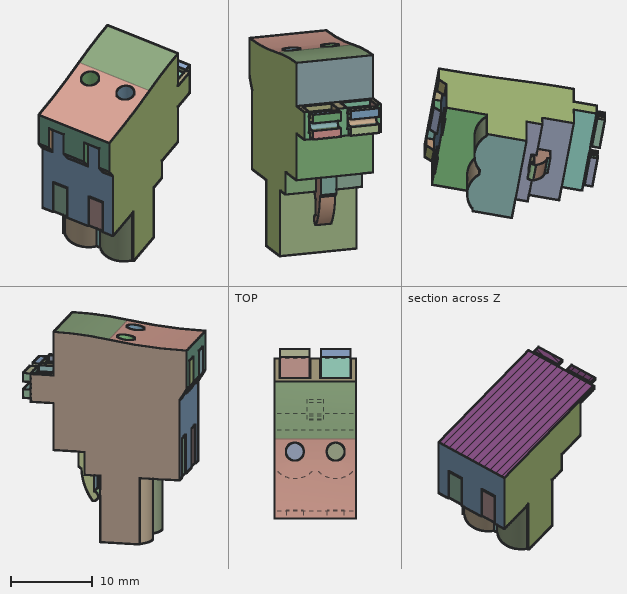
import cadquery as cq

POLES = 2
WIDTH = 10.0
PITCH = WIDTH / POLES
POLE_XS = [(index + 0.5) * PITCH for index in range(POLES)]
HEIGHT = 26.25

FRONT_Y = 0.92
STEP_Y = 12.85
REAR_Y = 16.77
CROWN_JOINT_Y = 9.8
NOSE_TOP_Z = 24.88
NOSE_BOTTOM_Z = 20.0
NOSE_UNDERCUT_Z = 18.5
SHOULDER_Z = 11.28
BODY_BOTTOM_Z = 8.4

PLUG_FRONT_Y = 5.95
PLUG_REAR_Y = 10.9
BARREL_FRONT_Y = 4.9
BARREL_WIDTH = 4.51

TEST_HOLE_DIAMETER = 2.2
TEST_HOLE_Y = 8.2
TEST_HOLE_FLOOR_Z = 19.68

NOSE_SLOT_WIDTH = 2.1
NOSE_SLOT_TOP_Z = 23.25
RECESS_WIDTH = 2.0
RECESS_TOP_Z = 13.35
RECESS_DEPTH = 0.13

LEDGE_REAR_Y = 19.63
LEDGE_BOTTOM_Z = 17.21
LEDGE_TOP_Z = 20.73
POCKET_FRONT_Y = 17.25
SIDE_CLEARANCE = 0.08

LEVER_WIDTH = 3.65
LEVER_REAR_Y = 20.78
LEVER_HEAD_Y = 19.8
STEM_BOTTOM_Z = 18.03
STEM_TOP_Z = 20.0
HEAD_BOTTOM_Z = 17.48
HEAD_TOP_Z = 20.62
NOTCH_WIDTH = 0.97
NOTCH_FLOOR_Y = 19.68

HOOK_WIDTH = 2.0
HOOK_REAR_Y = 14.6
HOOK_KNEE = (14.22, 8.05)
HOOK_BACK_MIDDLE = (13.72, 5.75)
HOOK_TIP_START = (12.8, 4.1)
HOOK_TIP_FRONT = (12.15, 4.5)
HOOK_NECK_Y = 12.6
HOOK_NECK_BOTTOM_Z = 5.33
HOOK_NECK_TOP_Z = 7.32
HOOK_ROOT_Y = 12.2


def box(x_span, y_span, z_span):
    """Axis-aligned box between pairs of limits."""
    spans = (x_span, y_span, z_span)
    sizes = [high - low for low, high in spans]
    corner = tuple(low for low, high in spans)
    return cq.Workplane("XY").box(*sizes, centered=False).translate(corner)


def span_about(middle, width):
    """Limits of a span of the given width about its middle."""
    return (middle - width / 2, middle + width / 2)


def level_arc_radius(span, drop):
    """Radius of an arc that starts level and falls by the drop over the span."""
    return (span**2 + drop**2) / (2 * drop)


def make_block():
    """Main block; two arcs, level at the outer ends and tangent where they meet, make the crown."""
    rear_span = REAR_Y - CROWN_JOINT_Y
    crown_drop = HEIGHT - NOSE_TOP_Z
    rear_drop = crown_drop * rear_span / REAR_Y
    rear_radius = level_arc_radius(rear_span, rear_drop)
    nose_radius = level_arc_radius(CROWN_JOINT_Y, crown_drop - rear_drop)
    return (
        cq.Workplane("YZ")
        .moveTo(REAR_Y, SHOULDER_Z)
        .lineTo(REAR_Y, HEIGHT)
        .radiusArc((CROWN_JOINT_Y, HEIGHT - rear_drop), -rear_radius)
        .radiusArc((0, NOSE_TOP_Z), nose_radius)
        .lineTo(0, NOSE_BOTTOM_Z)
        .lineTo(FRONT_Y, NOSE_UNDERCUT_Z)
        .lineTo(FRONT_Y, BODY_BOTTOM_Z)
        .lineTo(STEP_Y, BODY_BOTTOM_Z)
        .lineTo(STEP_Y, SHOULDER_Z)
        .close()
        .extrude(WIDTH)
    )


def make_barrel(x):
    """Plug barrel: a round-fronted column standing out from the plug."""
    half_width = BARREL_WIDTH / 2
    return (
        cq.Workplane("XY")
        .moveTo(x - half_width, PLUG_REAR_Y)
        .lineTo(x - half_width, PLUG_FRONT_Y)
        .threePointArc((x, BARREL_FRONT_Y), (x + half_width, PLUG_FRONT_Y))
        .lineTo(x + half_width, PLUG_REAR_Y)
        .close()
        .extrude(BODY_BOTTOM_Z)
    )


def make_hook():
    """Latch hook: a tapering finger ending in a rounded tip."""
    return (
        cq.Workplane("YZ")
        .moveTo(HOOK_REAR_Y, SHOULDER_Z)
        .lineTo(HOOK_REAR_Y, BODY_BOTTOM_Z)
        .lineTo(*HOOK_KNEE)
        .threePointArc(HOOK_BACK_MIDDLE, HOOK_TIP_START)
        .threePointArc(HOOK_TIP_FRONT, (HOOK_NECK_Y, HOOK_NECK_BOTTOM_Z))
        .lineTo(HOOK_NECK_Y, HOOK_NECK_TOP_Z)
        .lineTo(HOOK_ROOT_Y, BODY_BOTTOM_Z)
        .lineTo(HOOK_ROOT_Y, SHOULDER_Z)
        .close()
        .extrude(HOOK_WIDTH / 2, both=True)
        .translate((WIDTH / 2, 0, 0))
    )


def make_test_hole(x):
    """Round shaft from the hole floor up past the crown."""
    depth = HEIGHT - TEST_HOLE_FLOOR_Z
    return (
        cq.Workplane("XY", origin=(x, TEST_HOLE_Y, TEST_HOLE_FLOOR_Z))
        .circle(TEST_HOLE_DIAMETER / 2)
        .extrude(depth)
    )


def make_housing():
    """Housing: block, plug, ledge and hook in one piece, with its openings cut out."""
    plug = box((0, WIDTH), (PLUG_FRONT_Y, PLUG_REAR_Y), (0, BODY_BOTTOM_Z))
    ledge = box((0, WIDTH), (REAR_Y, LEDGE_REAR_Y), (LEDGE_BOTTOM_Z, LEDGE_TOP_Z))
    housing = make_block().union(plug).union(ledge).union(make_hook())
    for x in POLE_XS:
        nose_slot = box(
            span_about(x, NOSE_SLOT_WIDTH), (0, FRONT_Y), (NOSE_UNDERCUT_Z, NOSE_SLOT_TOP_Z)
        )
        recess = box(
            span_about(x, RECESS_WIDTH),
            (FRONT_Y, FRONT_Y + RECESS_DEPTH),
            (BODY_BOTTOM_Z, RECESS_TOP_Z),
        )
        pocket = box(
            span_about(x, LEVER_WIDTH + 2 * SIDE_CLEARANCE),
            (POCKET_FRONT_Y, LEDGE_REAR_Y),
            (STEM_BOTTOM_Z, LEDGE_TOP_Z),
        )
        housing = housing.union(make_barrel(x))
        housing = housing.cut(nose_slot).cut(recess).cut(pocket).cut(make_test_hole(x))
    return housing


def make_lever(x):
    """Lever filling one ledge pocket, its head notched from the rear by a round-ended slot."""
    width_span = span_about(x, LEVER_WIDTH)
    stem = box(width_span, (POCKET_FRONT_Y, LEVER_HEAD_Y), (STEM_BOTTOM_Z, STEM_TOP_Z))
    head = box(width_span, (LEVER_HEAD_Y, LEVER_REAR_Y), (HEAD_BOTTOM_Z, HEAD_TOP_Z))
    middle_z = (HEAD_BOTTOM_Z + HEAD_TOP_Z) / 2
    notch_radius = NOTCH_WIDTH / 2
    round_y = NOTCH_FLOOR_Y + notch_radius
    notch = box(width_span, (round_y, LEVER_REAR_Y), span_about(middle_z, NOTCH_WIDTH))
    notch_round = (
        cq.Workplane("YZ", origin=(width_span[0], round_y, middle_z))
        .circle(notch_radius)
        .extrude(LEVER_WIDTH)
    )
    return stem.union(head).cut(notch).cut(notch_round)


housing = make_housing()
levers = [make_lever(x) for x in POLE_XS]
result = cq.Compound.makeCompound([housing.val(), *[lever.val() for lever in levers]])